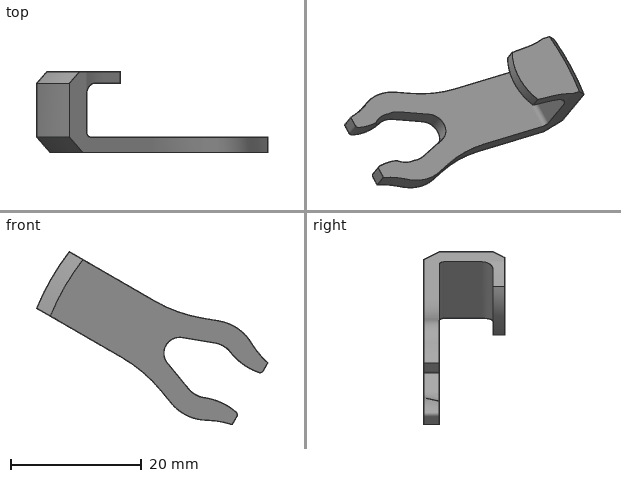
import cadquery as cq
import math

tilt = 30.0

width_y = 12.4
half_height = 5.0
front_plate = 2.4
back_plate = 1.8
wall_thickness = 3.08
wall_outer_radius = 38.0
front_corner_radius = 0.75
back_corner_radius = 1.7

slot_radius = 2.4
slot_center_u = 22.37
arm_angle = math.radians(20.6)
arm_thickness = 3.46
shoulder_radius = 22.0
bend_center_u = 27.6
bend_center_v = 0.52
bend_end_angle = math.radians(30.5)
lip_start_angle = math.radians(22.0)
tip_u = 34.79
tip_outer_v = 5.455
tip_back_sag = 0.13
tip_lip_radius = 9.5
tip_corner_radius = 0.55
bend_lean = 1.1

hook_end_u = 9.41
hook_end_half = 4.28
hook_side_start_u = 6.23
hook_side_start_half = 4.45
hook_end_radius = 2 * hook_end_half


def polar(center, radius, angle):
    """Point on a circle, with the angle measured from +v towards +u."""
    u = center[0] + radius * math.sin(angle)
    v = center[1] + radius * math.cos(angle)
    return (u, v)


def mirror(point):
    return (point[0], -point[1])


def bowed_mid(start, end, sag):
    """Middle of an arc that bows by sag to the right of the way from start to end."""
    du = end[0] - start[0]
    dv = end[1] - start[1]
    length = math.hypot(du, dv)
    u = (start[0] + end[0]) / 2 + sag * dv / length
    v = (start[1] + end[1]) / 2 - sag * du / length
    return (u, v)


def arc_sag(half_chord, radius):
    return radius - math.sqrt(radius ** 2 - half_chord ** 2)


wall_bow = (-arc_sag(half_height, wall_outer_radius), 0)
wall_top = (0, half_height)

sin_a = math.sin(arm_angle)
cos_a = math.cos(arm_angle)
inner_offset = slot_radius - slot_center_u * sin_a
outer_offset = inner_offset + arm_thickness
bend_inner = inner_offset + bend_center_u * sin_a - bend_center_v * cos_a
bend_outer = bend_inner + arm_thickness
slot_center = (slot_center_u, 0)
bend_center = (bend_center_u, bend_center_v)

lip_center = polar(bend_center, bend_inner + tip_lip_radius, lip_start_angle)
lip_rise = arc_sag(tip_u - lip_center[0], tip_lip_radius)
lip_low_v = lip_center[1] - tip_lip_radius
tip_inner = (tip_u, lip_low_v + lip_rise)


def fork_outline():
    shoulder_v = half_height + shoulder_radius
    shoulder_u = (shoulder_v * cos_a - outer_offset - shoulder_radius) / sin_a
    shoulder = (shoulder_u, shoulder_v)

    stem_end = (shoulder_u, half_height)
    shoulder_mid = polar(shoulder, -shoulder_radius, -arm_angle / 2)
    shoulder_end = polar(shoulder, -shoulder_radius, -arm_angle)
    outer_start = polar(bend_center, bend_outer, -arm_angle)
    outer_mid = polar(bend_center, bend_outer, (bend_end_angle - arm_angle) / 2)
    outer_end = polar(bend_center, bend_outer, bend_end_angle)
    tip_outer = (tip_u, tip_outer_v)
    tip_back_mid = bowed_mid(outer_end, tip_outer, tip_back_sag)

    lip_mid = (lip_center[0], lip_low_v)
    inner_end = polar(bend_center, bend_inner, lip_start_angle)
    inner_mid = polar(bend_center, bend_inner, (lip_start_angle - arm_angle) / 2)
    inner_start = polar(bend_center, bend_inner, -arm_angle)
    slot_tangent = polar(slot_center, slot_radius, -arm_angle)
    slot_bottom = (slot_center_u - slot_radius, 0)

    return (
        cq.Workplane("XZ")
        .moveTo(*wall_top)
        .lineTo(*stem_end)
        .threePointArc(shoulder_mid, shoulder_end)
        .lineTo(*outer_start)
        .threePointArc(outer_mid, outer_end)
        .threePointArc(tip_back_mid, tip_outer)
        .lineTo(*tip_inner)
        .threePointArc(lip_mid, inner_end)
        .threePointArc(inner_mid, inner_start)
        .lineTo(*slot_tangent)
        .threePointArc(slot_bottom, mirror(slot_tangent))
        .lineTo(*mirror(inner_start))
        .threePointArc(mirror(inner_mid), mirror(inner_end))
        .threePointArc(mirror(lip_mid), mirror(tip_inner))
        .lineTo(*mirror(tip_outer))
        .threePointArc(mirror(tip_back_mid), mirror(outer_end))
        .threePointArc(mirror(outer_mid), mirror(outer_start))
        .lineTo(*mirror(shoulder_end))
        .threePointArc(mirror(shoulder_mid), mirror(stem_end))
        .lineTo(*mirror(wall_top))
        .threePointArc(wall_bow, wall_top)
        .close()
    )


def leaning_bend(side):
    """Cutter that follows the inner bend of one arm and leans towards the tips with depth."""
    return (
        cq.Workplane("XZ")
        .center(bend_center_u, side * bend_center_v)
        .circle(bend_inner)
        .workplane(offset=-front_plate)
        .center(bend_lean, 0)
        .circle(bend_inner)
        .loft(ruled=True)
    )


def hook_outline():
    wall_end = (wall_thickness, half_height)
    side_start = (hook_side_start_u, hook_side_start_half)
    side_end = (hook_end_u, hook_end_half)
    end_bow = (hook_end_u + arc_sag(hook_end_half, hook_end_radius), 0)

    side_slope = math.atan2(side_end[1] - side_start[1], side_end[0] - side_start[0])
    chord_slope = math.atan2(side_start[1] - wall_end[1], side_start[0] - wall_end[0])
    chord = math.dist(wall_end, side_start)
    flank_sag = chord / 2 * math.tan((side_slope - chord_slope) / 2)
    flank_mid = bowed_mid(wall_end, side_start, flank_sag)

    return (
        cq.Workplane("XZ")
        .moveTo(*wall_top)
        .lineTo(*wall_end)
        .threePointArc(flank_mid, side_start)
        .lineTo(*side_end)
        .threePointArc(end_bow, mirror(side_end))
        .lineTo(*mirror(side_start))
        .threePointArc(mirror(flank_mid), mirror(wall_end))
        .lineTo(*mirror(wall_top))
        .threePointArc(wall_bow, wall_top)
        .close()
    )


def cavity():
    """Space between the two plates, with rounded corners at the end wall."""
    gap = width_y - front_plate - back_plate
    length = tip_u
    height = 4 * half_height
    block = (
        cq.Workplane("XY")
        .box(length, gap, height, centered=(False, False, True))
        .translate((wall_thickness, front_plate, 0))
    )
    block = block.edges("|Z and <X and <Y").fillet(front_corner_radius)
    return block.edges("|Z and <X and >Y").fillet(back_corner_radius)


def end_wall_edge(y):
    return cq.selectors.NearestToPointSelector((wall_bow[0], y, 0))


split_y = width_y / 2
fork = fork_outline().extrude(-split_y)
for side in (1, -1):
    tip_corner = (tip_u, split_y / 2, side * tip_inner[1])
    corner_edge = cq.selectors.NearestToPointSelector(tip_corner)
    fork = fork.edges("|Y").edges(corner_edge).fillet(tip_corner_radius)

hook = hook_outline().extrude(-split_y).translate((0, split_y, 0))
body = fork.union(hook).cut(cavity())
for side in (1, -1):
    body = body.cut(leaning_bend(side))

body = body.faces("<Y").edges(end_wall_edge(0)).chamfer(front_plate)
body = body.faces(">Y").edges(end_wall_edge(width_y)).chamfer(back_plate)

result = body.rotate((0, 0, 0), (0, 1, 0), tilt)